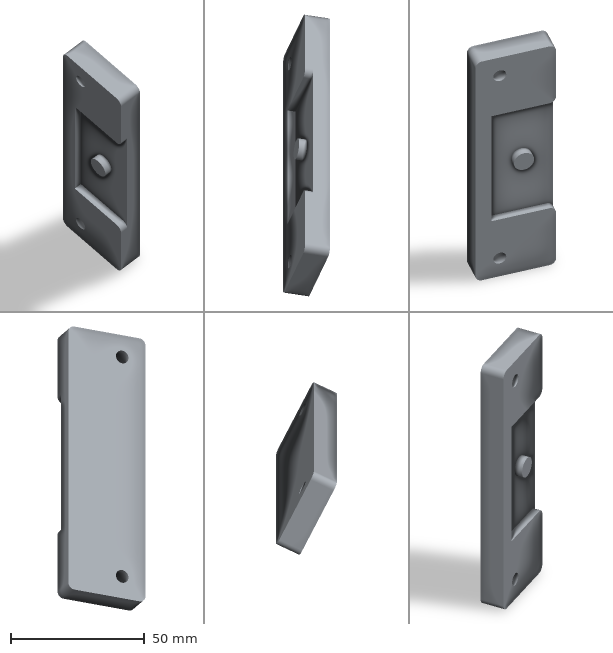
import cadquery as cq

height = 106.7
width = 31.8
thickness = 9.6
corner_radius = 2.6

hole_diameter = 5.1
hole_from_left = 9.6
hole_spacing = 89.0

pocket_height = 51.2
pocket_from_left = 6.4
pocket_depth = 3.1
mouth_radius = corner_radius

pin_diameter = 8.0
pin_from_left = 19.2

left = -width / 2
right = width / 2
pocket_left = left + pocket_from_left


def front_plane(x=0.0):
    """XZ workplane on the front (-Y) face; negative extrusions go into the plate."""
    return cq.Workplane("XZ", origin=(x, 0, 0))


def make_plate():
    plate = front_plane().rect(width, height).extrude(-thickness)
    return plate.edges("|Y").fillet(corner_radius)


def make_pocket():
    """Pocket volume whose mouth flares out through convex rounds."""
    half = pocket_height / 2
    flare = half + mouth_radius
    mouth_start = right - mouth_radius
    return (
        front_plane()
        .moveTo(pocket_left, -half)
        .lineTo(mouth_start, -half)
        .radiusArc((right, -flare), mouth_radius)
        .lineTo(right, flare)
        .radiusArc((mouth_start, half), mouth_radius)
        .lineTo(pocket_left, half)
        .close()
        .extrude(-pocket_depth)
    )


def make_screw_holes():
    centers = [(0, -hole_spacing / 2), (0, hole_spacing / 2)]
    return front_plane(left + hole_from_left).pushPoints(centers).circle(hole_diameter / 2).extrude(-thickness)


def make_pin():
    return front_plane(left + pin_from_left).circle(pin_diameter / 2).extrude(-pocket_depth)


result = make_plate().cut(make_pocket()).cut(make_screw_holes()).union(make_pin())